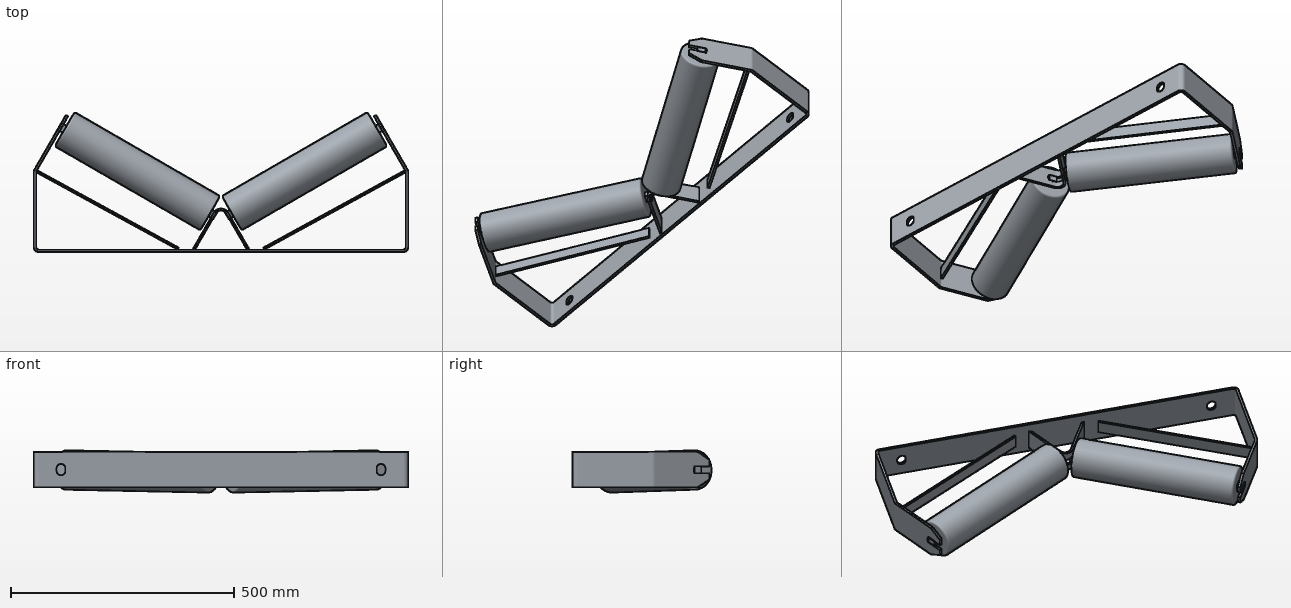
import cadquery as cq
import math

FRAME_WIDTH = 840.0
FRAME_HEIGHT = 80.0
FRAME_THICKNESS = 6.0
FRAME_BEND_RADIUS = 8.0
ARM_BEND_Y = 181.5
ARM_LENGTH = 144.0
TIP_CHAMFER_LENGTH = 28.5
TIP_CHAMFER_DEPTH = 17.0
MOUNT_HOLE_SPACING = 717.0
MOUNT_HOLE_WIDTH = 20.0
MOUNT_HOLE_HEIGHT = 25.0

ROLLER_INCLINE = math.radians(30)
ROLLER_DIP = math.radians(1)
ROLLER_DIAMETER = 89.0
ROLLER_LENGTH = 376.0
ROLLER_EDGE_RADIUS = 4.0
ROLLER_CENTER_X = 187.0
ROLLER_CENTER_Y = 181.5
ROLLER_CENTER_Z = -4.0
SHAFT_WIDTH = 18.0
SHAFT_HEIGHT = 15.0
SLOT_BOTTOM_RADIUS = 12.0
SLOT_CUT_HEIGHT = 84.0
SLOT_OVERRUN = 25.0
SHAFT_LENGTH = 401.5

BRACKET_HEIGHT = 50.0
BRACKET_THICKNESS = 5.0
BRACKET_CENTER_Z = -6.0
BRACKET_SPREAD = 122.0
BRACKET_BEND_RADIUS = 16.0

BRACE_HEIGHT = 30.0
BRACE_THICKNESS = 5.0
BRACE_FOOT_X = 97.5
BRACE_HEAD_Y = 179.0

SIDES = (-1, 1)
side_x = (FRAME_WIDTH - FRAME_THICKNESS) / 2
tip_x = side_x - ARM_LENGTH * math.sin(ROLLER_INCLINE)
tip_y = ARM_BEND_Y + ARM_LENGTH * math.cos(ROLLER_INCLINE)


def bent_strip(corners, bend_radius, height, thickness):
    """Flat strip on edge, following a centre line through the corners with rounded bends."""
    centre_line = cq.Wire.makePolygon([cq.Vector(x, y, 0) for x, y in corners])
    centre_line = centre_line.fillet2D(bend_radius, centre_line.Vertices()[1:-1])
    start = cq.Plane(
        origin=centre_line.startPoint(), xDir=(0, 0, 1), normal=centre_line.tangentAt(0)
    )
    return cq.Workplane(start).rect(height, thickness).sweep(cq.Workplane(obj=centre_line))


def roller_plane(side):
    """Plane across the middle of a roller: normal to the outer end, X direction up along the arm."""
    axis = (
        side * math.cos(ROLLER_INCLINE) * math.cos(ROLLER_DIP),
        math.sin(ROLLER_INCLINE) * math.cos(ROLLER_DIP),
        math.sin(ROLLER_DIP),
    )
    up_arm = (-side * math.sin(ROLLER_INCLINE), math.cos(ROLLER_INCLINE), 0)
    centre = (side * ROLLER_CENTER_X, ROLLER_CENTER_Y, ROLLER_CENTER_Z)
    return cq.Plane(origin=centre, xDir=up_arm, normal=axis)


def make_roller(side):
    """Drum with rounded rims and a rectangular shaft standing out at both ends."""
    drum = (
        cq.Workplane(roller_plane(side))
        .workplane(offset=-ROLLER_LENGTH / 2)
        .circle(ROLLER_DIAMETER / 2)
        .extrude(ROLLER_LENGTH)
        .edges()
        .fillet(ROLLER_EDGE_RADIUS)
    )
    shaft = (
        cq.Workplane(roller_plane(side))
        .rect(SHAFT_WIDTH, SHAFT_HEIGHT)
        .extrude(SHAFT_LENGTH / 2, both=True)
    )
    return drum.union(shaft)


def shaft_slot(side):
    """Cutter for the slots that hold one shaft: round bottom, open up along the arm."""
    bottom_x = math.sqrt(SLOT_BOTTOM_RADIUS**2 - (SHAFT_HEIGHT / 2) ** 2)
    return (
        cq.Workplane(roller_plane(side))
        .moveTo(SLOT_CUT_HEIGHT, SHAFT_HEIGHT / 2)
        .lineTo(-bottom_x, SHAFT_HEIGHT / 2)
        .threePointArc((-SLOT_BOTTOM_RADIUS, 0), (-bottom_x, -SHAFT_HEIGHT / 2))
        .lineTo(SLOT_CUT_HEIGHT, -SHAFT_HEIGHT / 2)
        .close()
        .extrude(SHAFT_LENGTH / 2 + SLOT_OVERRUN, both=True)
    )


def arm_tip_chamfers(side):
    """Cutter for the two corners at the tip of an arm."""
    up_arm = (-side * math.sin(ROLLER_INCLINE), math.cos(ROLLER_INCLINE), 0)
    across_arm = (side * math.cos(ROLLER_INCLINE), math.sin(ROLLER_INCLINE), 0)
    plane = cq.Plane(origin=(side * tip_x, tip_y, 0), xDir=up_arm, normal=across_arm)
    edge = FRAME_HEIGHT / 2
    cutter = cq.Workplane(plane)
    for end in SIDES:
        cutter = cutter.polyline(
            [
                (-TIP_CHAMFER_LENGTH, end * edge),
                (0, end * edge),
                (0, end * (edge - TIP_CHAMFER_DEPTH)),
            ]
        ).close()
    return cutter.extrude(FRAME_THICKNESS, both=True)


def make_frame():
    """Bent strip with two arms, shaft slots in the arms and mounting holes in the base."""
    base_y = FRAME_THICKNESS / 2
    corners = [
        (-tip_x, tip_y),
        (-side_x, ARM_BEND_Y),
        (-side_x, base_y),
        (side_x, base_y),
        (side_x, ARM_BEND_Y),
        (tip_x, tip_y),
    ]
    frame = bent_strip(corners, FRAME_BEND_RADIUS, FRAME_HEIGHT, FRAME_THICKNESS)
    mount_holes = (
        cq.Workplane("XZ")
        .pushPoints([(side * MOUNT_HOLE_SPACING / 2, 0) for side in SIDES])
        .slot2D(MOUNT_HOLE_HEIGHT, MOUNT_HOLE_WIDTH, 90)
        .extrude(-2 * FRAME_THICKNESS)
    )
    frame = frame.cut(mount_holes)
    for side in SIDES:
        frame = frame.cut(arm_tip_chamfers(side)).cut(shaft_slot(side))
    return frame


def make_bracket():
    """Inverted V with legs square to the roller axes, trimmed flush with the frame base."""
    foot_x = BRACKET_SPREAD / 2
    apex_y = FRAME_THICKNESS + foot_x / math.tan(ROLLER_INCLINE)
    buried_x = foot_x + FRAME_THICKNESS * math.tan(ROLLER_INCLINE)
    corners = [(-buried_x, 0), (0, apex_y), (buried_x, 0)]
    bracket = bent_strip(corners, BRACKET_BEND_RADIUS, BRACKET_HEIGHT, BRACKET_THICKNESS)
    base = cq.Workplane("XY").box(FRAME_WIDTH, 2 * FRAME_THICKNESS, FRAME_HEIGHT)
    bracket = bracket.cut(base).translate((0, 0, BRACKET_CENTER_Z))
    for side in SIDES:
        bracket = bracket.cut(shaft_slot(side))
    return bracket


def make_brace(side):
    """Flat strip with square-cut ends running from just below an arm bend to the frame base."""
    head = cq.Vector(side * (FRAME_WIDTH / 2 - FRAME_THICKNESS), BRACE_HEAD_Y, 0)
    foot = cq.Vector(side * BRACE_FOOT_X, FRAME_THICKNESS, 0)
    along = (head - foot).normalized()
    plane = cq.Plane(origin=foot, xDir=along, normal=(0, 0, 1))
    return (
        cq.Workplane(plane)
        .center((head - foot).Length / 2, side * BRACE_THICKNESS / 2)
        .box((head - foot).Length, BRACE_THICKNESS, BRACE_HEIGHT)
    )


frame = make_frame()
bracket = make_bracket()
rollers = [make_roller(side) for side in SIDES]
braces = [make_brace(side) for side in SIDES]

result = cq.Compound.makeCompound(
    [frame.val(), bracket.val()]
    + [roller.val() for roller in rollers]
    + [brace.val() for brace in braces]
)